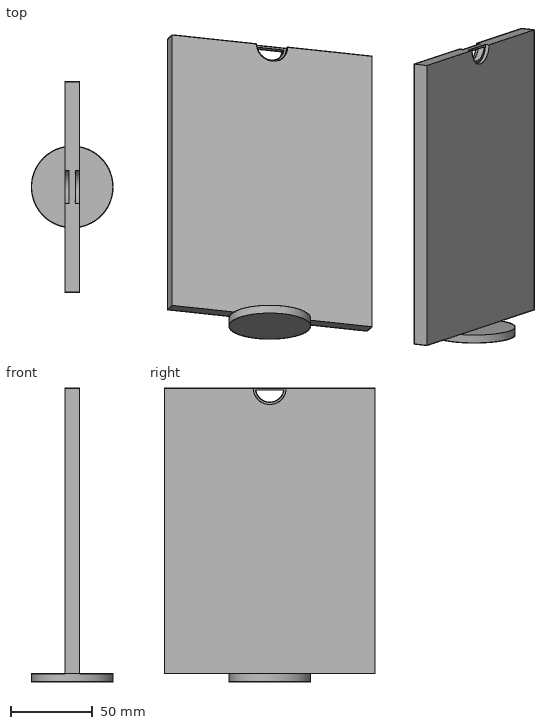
import cadquery as cq

total_height = 180.0
panel_width = 129.0
panel_thickness = 9.0
base_diameter = 50.0
base_thickness = 5.0

recess_radius = 10.0
recess_depth = 2.5
opening_radius = 8.6
top_bar_height = 1.3


def disc_along_x(radius, start_x, length):
    """Disc with its axis along X, centred on the top edge of the panel."""
    return (
        cq.Workplane("YZ", origin=(start_x, 0, total_height))
        .circle(radius)
        .extrude(length)
    )


base = cq.Workplane("XY").circle(base_diameter / 2).extrude(base_thickness)

panel = (
    cq.Workplane("XY", origin=(0, 0, base_thickness))
    .rect(panel_thickness, panel_width)
    .extrude(total_height - base_thickness)
)

half_thickness = panel_thickness / 2
for start_x in (-half_thickness, half_thickness - recess_depth):
    panel = panel.cut(disc_along_x(recess_radius, start_x, recess_depth))

top_bar = (
    cq.Workplane("XY", origin=(0, 0, total_height - top_bar_height))
    .rect(panel_thickness, 2 * recess_radius)
    .extrude(top_bar_height)
)
opening = disc_along_x(opening_radius, -half_thickness, panel_thickness).cut(top_bar)
panel = panel.cut(opening)

result = base.union(panel)